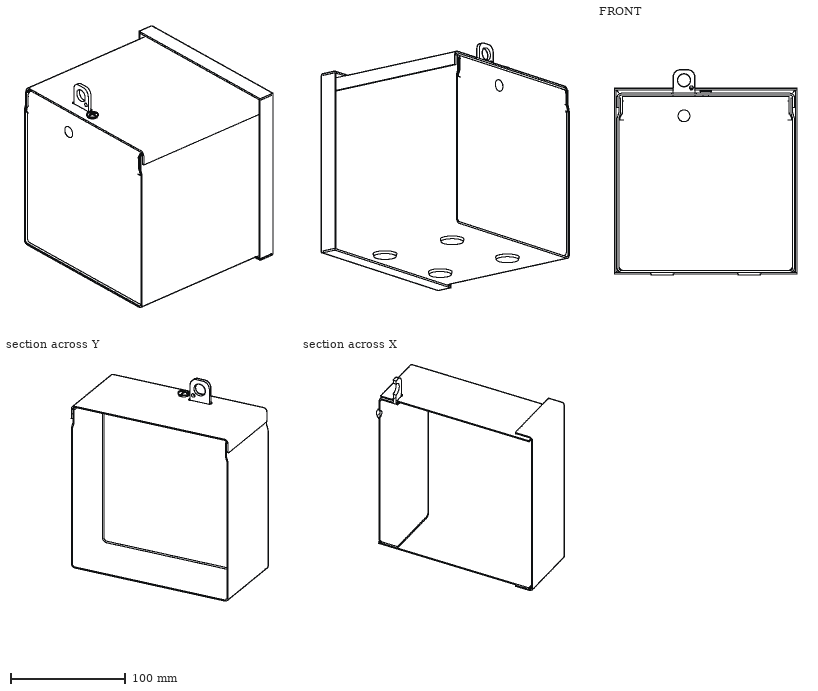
import cadquery as cq
import math


sheet = 1.55
bend_outer = 4.0
bend_inner = bend_outer - sheet

cover_width = 159.98
cover_back_y = 78.07
cover_depth = 17.5
cover_top_z = 73.7
cover_bottom_z = -89.2
cover_seam_gap = 0.1

body_half = 77.7
inner_half = body_half - sheet
body_front_y = -75.7
body_back_y = cover_back_y - bend_outer
floor_z = cover_bottom_z + sheet
top_z = 69.3

plate_front_y = -73.6
plate_flange_height = 12.7

jog_low_z = 47.2
jog_high_z = 52.2
jog_low_bend = 8.0
jog_high_bend = 2.4
wall_top_z = top_z - bend_outer

knockout_base_diameter = 20.8
knockout_tip_diameter = 19.4
knockout_bottom_z = -89.96
knockout_spacing = 76.2

pan_top_gap = 1.3
pan_top_z = top_z - sheet - pan_top_gap
pan_depth = 19.0
pan_corner_radius = 4.5
relief_bottom_z = 45.8
relief_half = 73.0
tongue_half = 75.3

hasp_x = -19.05
hasp_y = -59.7
hasp_width = 19.05
hasp_thickness = 3.17
hasp_top_z = 89.96
hasp_corner_radius = 6.35
hasp_hole_diameter = 11.11
hasp_hole_z = 80.66
seal_hole_diameter = 3.17
seal_hole_x = -12.65
seal_hole_z = 74.06
hasp_slot_length = 21.6
hasp_slot_width = 4.76
hasp_slot_corner = 1.2

screw_y = -64.8
screw_shank_diameter = 4.98
screw_shank_length = 8.0
screw_head_diameter = 10.31
screw_neck_diameter = 9.2
screw_neck_height = 1.4
screw_rim_height = 2.0
screw_head_height = 2.9
recess_width = 0.9
recess_length = 7.14
recess_depth = 1.6

rivet_z = 49.5
rivet_head_diameter = 10.31
rivet_shank_diameter = 6.35
rivet_tip_y = -78.06


def box(x0, x1, y0, y1, z0, z1):
    """Axis-aligned block between two opposite corners."""
    return cq.Workplane("XY").box(x1 - x0, y1 - y0, z1 - z0, centered=False).translate((x0, y0, z0))


def make_cover():
    """Tray open toward -Y with rounded edges; its side flanges butt against the top and bottom ones."""
    half = cover_width / 2
    front_y = cover_back_y - cover_depth
    outer = box(-half, half, front_y, cover_back_y, cover_bottom_z, cover_top_z)
    outer = outer.faces(">Y").edges().fillet(bend_outer)
    inner = box(
        sheet - half, half - sheet,
        front_y, cover_back_y - sheet,
        cover_bottom_z + sheet, cover_top_z - sheet,
    )
    inner = inner.faces(">Y").edges().fillet(bend_inner)
    cover = outer.cut(inner)
    seam_end_y = cover_back_y - bend_outer
    top_seam_z = cover_top_z - sheet - cover_seam_gap
    bottom_seam_z = cover_bottom_z + sheet
    for seam_z in (top_seam_z, bottom_seam_z):
        cover = cover.cut(box(-half, half, front_y, seam_end_y, seam_z, seam_z + cover_seam_gap))
    return cover


def wrapper_prism(half, bottom_z, corner_radius, jog_offset_z, low_radius, high_radius):
    """Solid prism along Y with rounded bottom corners and the wall jog on each side."""
    low_z = jog_low_z + jog_offset_z
    high_z = jog_high_z + jog_offset_z
    upper_half = half - sheet
    prism = (
        cq.Workplane("XZ", origin=(0, body_back_y, 0))
        .moveTo(-half, bottom_z)
        .lineTo(half, bottom_z)
        .lineTo(half, low_z)
        .lineTo(upper_half, high_z)
        .lineTo(upper_half, wall_top_z)
        .lineTo(-upper_half, wall_top_z)
        .lineTo(-upper_half, high_z)
        .lineTo(-half, low_z)
        .close()
        .extrude(body_back_y - body_front_y)
    )
    prism = prism.edges("|Y and <Z").fillet(corner_radius)
    for z, radius in ((low_z, low_radius), (high_z, high_radius)):
        bend_edges = cq.selectors.BoxSelector(
            (-cover_width, body_front_y - sheet, z - sheet / 2),
            (cover_width, body_back_y + sheet, z + sheet / 2),
        )
        prism = prism.edges("|Y").edges(bend_edges).fillet(radius)
    return prism


def make_knockouts():
    """Tapered bosses on a square grid under the floor."""
    height = floor_z - knockout_bottom_z
    taper = math.degrees(math.atan2((knockout_base_diameter - knockout_tip_diameter) / 2, height))
    return (
        cq.Workplane("XY", origin=(0, 0, floor_z))
        .rarray(knockout_spacing, knockout_spacing, 2, 2)
        .circle(knockout_base_diameter / 2)
        .extrude(-height, taper=taper)
    )


def make_wrapper():
    """U-shaped sheet forming both sides and the floor."""
    jog_slope = math.atan2(sheet, jog_high_z - jog_low_z)
    inner_shift = -sheet * math.tan(jog_slope / 2)
    outer = wrapper_prism(body_half, floor_z, bend_outer, 0, jog_low_bend, jog_high_bend)
    inner = wrapper_prism(
        inner_half, floor_z + sheet, bend_inner, inner_shift,
        jog_low_bend - sheet, jog_high_bend + sheet,
    )
    return outer.cut(inner).union(make_knockouts())


def make_pan():
    """Front panel with flanges bent toward +Y and flat panel edges beside the wall jog."""
    back_y = body_front_y + pan_depth
    bottom_z = floor_z + sheet
    outer = box(-inner_half, inner_half, body_front_y, back_y, bottom_z, pan_top_z)
    outer = outer.edges("|Y and <Z").fillet(pan_corner_radius)
    outer = outer.faces("<Y").edges().fillet(bend_outer)
    inner = box(
        sheet - inner_half, inner_half - sheet,
        body_front_y + sheet, back_y,
        bottom_z + sheet, pan_top_z - sheet,
    )
    inner = inner.edges("|Y and <Z").fillet(pan_corner_radius - sheet)
    inner = inner.faces("<Y").edges().fillet(bend_inner)
    pan = outer.cut(inner)

    tongue = (
        cq.Workplane("XZ", origin=(0, body_front_y + sheet, 0))
        .moveTo(inner_half - bend_outer, relief_bottom_z)
        .lineTo(tongue_half, relief_bottom_z)
        .lineTo(tongue_half, jog_low_z)
        .lineTo(relief_half, jog_high_z)
        .lineTo(relief_half, pan_top_z - bend_outer)
        .lineTo(inner_half - bend_outer, pan_top_z - bend_outer)
        .close()
        .extrude(sheet)
    )
    relief = box(relief_half, inner_half, body_front_y, back_y, relief_bottom_z, pan_top_z)
    for side_relief, side_tongue in ((relief, tongue), (relief.mirror("YZ"), tongue.mirror("YZ"))):
        pan = pan.cut(side_relief).union(side_tongue)

    rivet_hole = (
        cq.Workplane("XZ", origin=(hasp_x, body_front_y + sheet, rivet_z))
        .circle(rivet_shank_diameter / 2)
        .extrude(sheet)
    )
    return pan.cut(rivet_hole)


def make_top_plate():
    """Flat top with a flange bent down over each side, slotted for the hasp."""
    flange_bottom_z = top_z - plate_flange_height
    outer = box(-body_half, body_half, plate_front_y, body_back_y, flange_bottom_z, top_z)
    outer = outer.edges("|Y and >Z").fillet(bend_outer)
    inner = box(-inner_half, inner_half, plate_front_y, body_back_y, flange_bottom_z, top_z - sheet)
    inner = inner.edges("|Y and >Z").fillet(bend_inner)
    slot = (
        cq.Workplane("XY", origin=(hasp_x, hasp_y, top_z - sheet))
        .rect(hasp_slot_length, hasp_slot_width)
        .extrude(sheet)
        .edges("|Z")
        .fillet(hasp_slot_corner)
    )
    return outer.cut(inner).cut(slot)


def make_hasp():
    """Upright tab with a padlock hole and a small seal hole, held in the pan flange."""
    bottom_z = pan_top_z - sheet
    tab = box(
        hasp_x - hasp_width / 2, hasp_x + hasp_width / 2,
        hasp_y - hasp_thickness / 2, hasp_y + hasp_thickness / 2,
        bottom_z, hasp_top_z,
    )
    tab = tab.edges("|Y and >Z").fillet(hasp_corner_radius)
    holes = (
        cq.Workplane("XZ", origin=(0, hasp_y + hasp_thickness / 2, 0))
        .moveTo(hasp_x, hasp_hole_z)
        .circle(hasp_hole_diameter / 2)
        .moveTo(seal_hole_x, seal_hole_z)
        .circle(seal_hole_diameter / 2)
        .extrude(hasp_thickness)
    )
    return tab.cut(holes)


def make_screw():
    """Round-head screw with a full-width slot crossed by a shorter one."""
    rim = screw_head_diameter / 2
    dome_height = screw_head_height - screw_rim_height
    dome_radius = (rim ** 2 + dome_height ** 2) / (2 * dome_height)
    mid_x = rim / 2
    mid_z = screw_head_height - dome_radius + math.sqrt(dome_radius ** 2 - mid_x ** 2)
    screw = (
        cq.Workplane("XZ", origin=(0, screw_y, top_z))
        .moveTo(0, -screw_shank_length)
        .lineTo(screw_shank_diameter / 2, -screw_shank_length)
        .lineTo(screw_shank_diameter / 2, 0)
        .lineTo(screw_neck_diameter / 2, 0)
        .lineTo(screw_neck_diameter / 2, screw_neck_height)
        .lineTo(rim, screw_neck_height)
        .lineTo(rim, screw_rim_height)
        .threePointArc((mid_x, mid_z), (0, screw_head_height))
        .close()
        .revolve(360, (0, 0), (0, 1))
    )
    floor = cq.Workplane("XY", origin=(0, screw_y, top_z + screw_head_height - recess_depth))
    slot = floor.rect(screw_head_diameter, recess_width).extrude(recess_depth)
    cross_slot = floor.rect(recess_width, recess_length).extrude(recess_depth)
    return screw.cut(slot).cut(cross_slot)


def make_rivet():
    """Domed head on the pan face with a shank filling its hole."""
    radius = rivet_head_diameter / 2
    height = body_front_y - rivet_tip_y
    sphere_radius = (radius ** 2 + height ** 2) / (2 * height)
    mid_x = radius / 2
    mid_height = math.sqrt(sphere_radius ** 2 - mid_x ** 2) - (sphere_radius - height)
    shank_radius = rivet_shank_diameter / 2
    return (
        cq.Workplane("XY", origin=(hasp_x, body_front_y, rivet_z))
        .moveTo(0, -height)
        .threePointArc((mid_x, -mid_height), (radius, 0))
        .lineTo(shank_radius, 0)
        .lineTo(shank_radius, sheet)
        .lineTo(0, sheet)
        .close()
        .revolve(360, (0, 0), (0, 1))
    )


cover = make_cover()
wrapper = make_wrapper()
hasp = make_hasp()
screw = make_screw()
rivet = make_rivet()
pan = make_pan().cut(hasp).cut(screw)
top_plate = make_top_plate().cut(screw)

result = cq.Compound.makeCompound([
    *cover.solids().vals(),
    *wrapper.solids().vals(),
    *pan.solids().vals(),
    *top_plate.solids().vals(),
    *hasp.solids().vals(),
    *screw.solids().vals(),
    *rivet.solids().vals(),
])